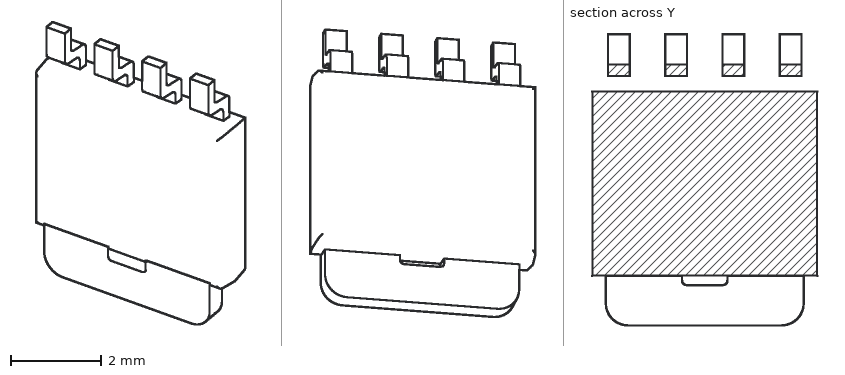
import cadquery as cq
import math


BODY_WIDTH = 5.0
BODY_THICKNESS = 1.1
BODY_HEIGHT = 4.1
DRAFT_ANGLE = 5.0
BODY_EDGE_RADIUS = 0.1

TAB_WIDTH = 4.4
TAB_THICKNESS = 0.5
TAB_LENGTH = 1.1
TAB_STAND_OFF = 0.01
TAB_CORNER_RADIUS = 0.5
SLOT_WIDTH = 1.0
SLOT_DEPTH = 0.2
SLOT_CORNER_RADIUS = 0.1

LEAD_COUNT = 4
LEAD_PITCH = 1.27
LEAD_WIDTH = 0.49
LEAD_THICKNESS = 0.25
LEAD_LENGTH = 1.27
LEAD_BACK_Y = 0.315
FOOT_FRONT_Y = -0.54
FOOT_LENGTH = 0.85
LEAD_TILT = 7.0
LEAD_BEND_RADIUS = 0.15
FOOT_INNER_RADIUS = 0.11
LEAD_EMBED = 0.3

half_thickness = BODY_THICKNESS / 2
body_top = BODY_HEIGHT / 2
body_bottom = -BODY_HEIGHT / 2

draft_inset = half_thickness * math.tan(math.radians(DRAFT_ANGLE))
round_inset = BODY_EDGE_RADIUS * math.tan(math.radians((90 - DRAFT_ANGLE) / 2))
flat_face_bottom = body_bottom + draft_inset + round_inset


def body_half(direction):
    """Half of the body, tapering from the parting plane towards +Y (1) or -Y (-1)."""
    half = (
        cq.Workplane("XZ")
        .rect(BODY_WIDTH, BODY_HEIGHT)
        .extrude(-direction * half_thickness, taper=DRAFT_ANGLE)
    )
    outer_face = ">Y" if direction > 0 else "<Y"
    return half.faces(outer_face).edges().fillet(BODY_EDGE_RADIUS)


def tab():
    """Heat-sink tab, with a slot open to the body's lower end."""
    tab_front = -half_thickness - TAB_STAND_OFF
    tab_bottom = body_bottom - TAB_LENGTH
    slot_bottom = body_bottom - SLOT_DEPTH
    tab_height = flat_face_bottom - tab_bottom
    slot_height = flat_face_bottom - slot_bottom
    front_plane = cq.Workplane("XZ", origin=(0, tab_front, 0))
    plate = (
        front_plane.center(0, tab_bottom + tab_height / 2)
        .rect(TAB_WIDTH, tab_height)
        .extrude(-TAB_THICKNESS)
        .edges("|Y and <Z")
        .fillet(TAB_CORNER_RADIUS)
    )
    slot = (
        front_plane.center(0, slot_bottom + slot_height / 2)
        .rect(SLOT_WIDTH, slot_height)
        .extrude(-TAB_THICKNESS)
        .edges("|Y and <Z")
        .fillet(SLOT_CORNER_RADIUS)
    )
    return plate.cut(slot)


def lead(x):
    """Z-bent lead centred on x, with a sloping stretch between root and foot."""
    tip = body_top + LEAD_LENGTH
    root = body_top - LEAD_EMBED
    tilt = math.radians(LEAD_TILT)
    foot_back_y = FOOT_FRONT_Y + LEAD_THICKNESS
    root_front_y = LEAD_BACK_Y - LEAD_THICKNESS

    def slope_lower_z(y):
        return tip - FOOT_LENGTH - (y - FOOT_FRONT_Y) * math.tan(tilt)

    def slope_upper_z(y):
        return slope_lower_z(y) + LEAD_THICKNESS / math.cos(tilt)

    outline = [
        (root_front_y, root),
        (root_front_y, slope_lower_z(root_front_y)),
        (FOOT_FRONT_Y, slope_lower_z(FOOT_FRONT_Y)),
        (FOOT_FRONT_Y, tip),
        (foot_back_y, tip),
        (foot_back_y, slope_upper_z(foot_back_y)),
        (LEAD_BACK_Y, slope_upper_z(LEAD_BACK_Y)),
        (LEAD_BACK_Y, root),
    ]
    strip = (
        cq.Workplane("YZ", origin=(x, 0, 0))
        .polyline(outline)
        .close()
        .extrude(LEAD_WIDTH / 2, both=True)
    )
    bends = [
        (root_front_y, slope_lower_z(root_front_y), LEAD_BEND_RADIUS),
        (FOOT_FRONT_Y, slope_lower_z(FOOT_FRONT_Y), LEAD_BEND_RADIUS),
        (LEAD_BACK_Y, slope_upper_z(LEAD_BACK_Y), LEAD_BEND_RADIUS),
        (foot_back_y, slope_upper_z(foot_back_y), FOOT_INNER_RADIUS),
    ]
    for y, z, radius in bends:
        corner = cq.selectors.NearestToPointSelector((x, y, z))
        strip = strip.edges("|X").edges(corner).fillet(radius)
    return strip


result = body_half(1).union(body_half(-1)).union(tab())
for index in range(LEAD_COUNT):
    lead_x = (index - (LEAD_COUNT - 1) / 2) * LEAD_PITCH
    result = result.union(lead(lead_x))